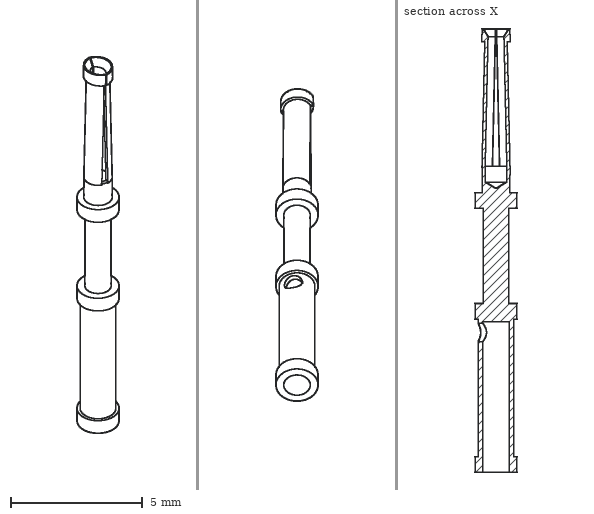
import cadquery as cq
import math

collar_height = 0.6
barrel_top = 5.8
shaft_top = 10.0
slot_floor = 11.6
lip_bottom = 16.3
socket_top = 16.8

collar_diameter = 1.6
barrel_diameter = 1.36
shaft_diameter = 1.0
socket_diameter = 1.08
lip_diameter = 1.3

wire_bore_diameter = 1.0
wire_bore_depth = 5.7
inspection_diameter = 0.7
inspection_height = 5.3

pin_bore_diameter = 0.8
bore_below_slot = 0.6
pin_bore_floor = slot_floor - bore_below_slot
pin_drill_angle = 118
lead_in_diameter = 1.2
lead_in_depth = 0.3
slot_width = 0.26
tip_gap = 0.03

tine_root_overlap = 0.05

tine_lean = math.degrees(math.atan((slot_width - tip_gap) / 2 / (socket_top - slot_floor)))


def cylinder(diameter, bottom, top):
    """Cylinder on the Z axis between two heights."""
    return cq.Workplane("XY").workplane(offset=bottom).circle(diameter / 2).extrude(top - bottom)


def make_body():
    """Solid stack of barrel, shaft, collars and socket base."""
    body = cylinder(barrel_diameter, 0, barrel_top)
    body = body.union(cylinder(shaft_diameter, barrel_top, shaft_top))
    body = body.union(cylinder(socket_diameter, shaft_top, slot_floor))
    for collar_bottom in (0, barrel_top, shaft_top):
        body = body.union(cylinder(collar_diameter, collar_bottom, collar_bottom + collar_height))
    return body


def cut_wire_bore(body):
    """Blind wire bore from the bottom end, with an inspection hole on the +Y side."""
    inspection = (
        cq.Workplane("XZ")
        .center(0, inspection_height)
        .circle(inspection_diameter / 2)
        .extrude(-collar_diameter)
    )
    return body.cut(cylinder(wire_bore_diameter, 0, wire_bore_depth)).cut(inspection)


def cut_pin_bore(body):
    """Blind continuation of the pin bore below the slot, ending in a drill point."""
    radius = pin_bore_diameter / 2
    point_depth = radius / math.tan(math.radians(pin_drill_angle / 2))
    bore = (
        cq.Workplane("XZ")
        .moveTo(0, slot_floor)
        .lineTo(radius, slot_floor)
        .lineTo(radius, pin_bore_floor)
        .lineTo(0, pin_bore_floor - point_depth)
        .close()
        .revolve(360, (0, 0, 0), (0, 1, 0))
    )
    return body.cut(bore)


def make_tine():
    """The +Y half of the socket tube with its lip and lead-in, leaning toward the axis."""
    root = slot_floor - tine_root_overlap
    tube = cylinder(socket_diameter, root, socket_top)
    tube = tube.union(cylinder(lip_diameter, lip_bottom, socket_top))
    tube = tube.cut(cylinder(pin_bore_diameter, root, socket_top))
    lead_in = (
        cq.Workplane("XY")
        .workplane(offset=socket_top - lead_in_depth)
        .circle(pin_bore_diameter / 2)
        .workplane(offset=lead_in_depth)
        .circle(lead_in_diameter / 2)
        .loft()
    )
    half_block = (
        cq.Workplane("XY")
        .workplane(offset=root)
        .center(0, slot_width / 2 + lip_diameter / 2)
        .rect(2 * lip_diameter, lip_diameter)
        .extrude(socket_top - root)
    )
    tine = tube.cut(lead_in).intersect(half_block)
    hinge_start = (0, slot_width / 2, slot_floor)
    hinge_end = (lip_diameter, slot_width / 2, slot_floor)
    return tine.rotate(hinge_start, hinge_end, tine_lean)


body = cut_wire_bore(make_body())
body = cut_pin_bore(body)
tine = make_tine()
result = body.union(tine).union(tine.mirror("XZ"))